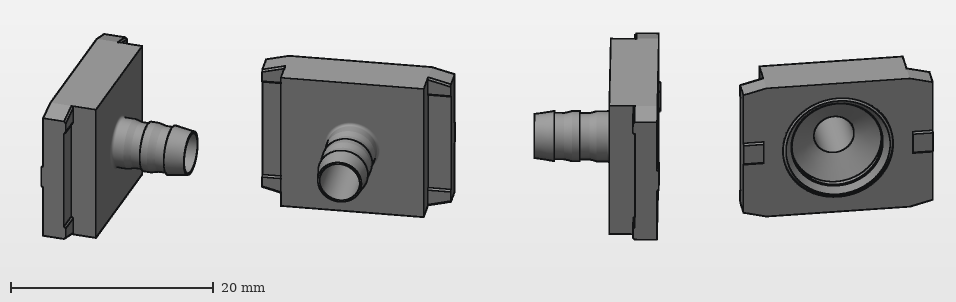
import cadquery as cq


total_width = 18.9
block_side = 14.3
block_depth = 4.75
ear_depth = 2.2
ear_end_height = 13.12
half_width = total_width / 2
half_block = block_side / 2
half_ear_end = ear_end_height / 2

pad_height = 0.19
corner_pad_foot = 5.16
key_height = 2.4
key_length = 2.0

bore_radius = 2.0
seat_radius = 5.5
seat_depth = 0.75
recess_radius = 4.5
recess_depth = 1.36
funnel_depth = 2.82

seal_inner_radius = 4.57
seal_crest_radius = 5.2
seal_taper_depth = 0.6
seal_outer_bevel = seat_radius - seal_crest_radius

barb_radius = 2.5
neck_radius = 2.3
tip_radius = 2.2
root_fillet = 0.28
first_land_end = 1.3
first_neck_start = 2.0
second_land_start = 2.97
second_land_end = 3.75
second_neck_start = 4.52
tip_cone_start = 5.48
barb_length = 7.47

OVERLAP = 0.1


def revolve_about_x(profile):
    """Turn a closed (X, radius) profile about the X axis."""
    return profile.close().revolve(360, (0, 0, 0), (1, 0, 0))


def make_ear(side):
    """Ear with tapered top and bottom, running inward to the block side."""
    return (
        cq.Workplane("YZ")
        .moveTo(side * half_block, half_block)
        .lineTo(side * half_width, half_ear_end)
        .lineTo(side * half_width, -half_ear_end)
        .lineTo(side * half_block, -half_block)
        .close()
        .extrude(ear_depth)
    )


def make_corner_pad(side, end):
    """Pad on the back of an ear, bevelled at its foot and along the ear's taper."""
    pad = (
        cq.Workplane("YZ", origin=(ear_depth - OVERLAP, 0, 0))
        .moveTo(side * half_block, end * half_block)
        .lineTo(side * half_width, end * half_ear_end)
        .lineTo(side * half_width, end * corner_pad_foot)
        .lineTo(side * half_block, end * corner_pad_foot)
        .close()
        .extrude(pad_height + OVERLAP)
    )
    return pad.faces(">X").edges(">Z or <Z").chamfer(pad_height)


def make_key(side):
    """Small bevelled key on the mating face at the outer end of an ear."""
    center_y = side * (half_width - key_length / 2)
    key_depth = pad_height + OVERLAP
    return (
        cq.Workplane("XY")
        .box(key_depth, key_length, key_height)
        .faces("<X")
        .edges("|Y")
        .chamfer(pad_height)
        .translate((key_depth / 2 - pad_height, center_y, 0))
    )


def make_barb():
    """Solid hose barb with a concave fillet at its root."""
    root = block_depth
    fillet_sag = root_fillet * (1 - 0.5**0.5)
    profile = (
        cq.Workplane("XY")
        .moveTo(root - OVERLAP, 0)
        .lineTo(root - OVERLAP, barb_radius + root_fillet)
        .lineTo(root, barb_radius + root_fillet)
        .threePointArc(
            (root + fillet_sag, barb_radius + fillet_sag),
            (root + root_fillet, barb_radius),
        )
        .lineTo(root + first_land_end, barb_radius)
        .lineTo(root + first_neck_start, neck_radius)
        .lineTo(root + second_land_start, neck_radius)
        .lineTo(root + second_land_start, barb_radius)
        .lineTo(root + second_land_end, barb_radius)
        .lineTo(root + second_neck_start, neck_radius)
        .lineTo(root + tip_cone_start, neck_radius)
        .lineTo(root + tip_cone_start, barb_radius)
        .lineTo(root + barb_length, tip_radius)
        .lineTo(root + barb_length, 0)
    )
    return revolve_about_x(profile)


def make_passage():
    """Volume removed from the fitting, from the seal seat to the barb tip."""
    tip = block_depth + barb_length
    profile = (
        cq.Workplane("XY")
        .moveTo(0, 0)
        .lineTo(0, seat_radius)
        .lineTo(seat_depth, seat_radius)
        .lineTo(seat_depth, recess_radius)
        .lineTo(recess_depth, recess_radius)
        .lineTo(funnel_depth, bore_radius)
        .lineTo(tip, bore_radius)
        .lineTo(tip, 0)
    )
    return revolve_about_x(profile)


def make_fitting():
    """Plate and hose barb in one piece."""
    fitting = cq.Workplane("XY").box(block_depth, block_side, block_side)
    fitting = fitting.translate((block_depth / 2, 0, 0))
    for side in (-1, 1):
        fitting = fitting.union(make_ear(side))
        fitting = fitting.union(make_key(side))
        for end in (-1, 1):
            fitting = fitting.union(make_corner_pad(side, end))
    return fitting.union(make_barb()).cut(make_passage())


def make_seal():
    """Ring in the seat, with its crest flush with the mating face."""
    profile = (
        cq.Workplane("XY")
        .moveTo(0, seal_crest_radius)
        .lineTo(seal_outer_bevel, seat_radius)
        .lineTo(seat_depth, seat_radius)
        .lineTo(seat_depth, seal_inner_radius)
        .lineTo(seal_taper_depth, seal_inner_radius)
    )
    return revolve_about_x(profile)


fitting = make_fitting()
seal = make_seal()

result = cq.Compound.makeCompound([fitting.val(), seal.val()])